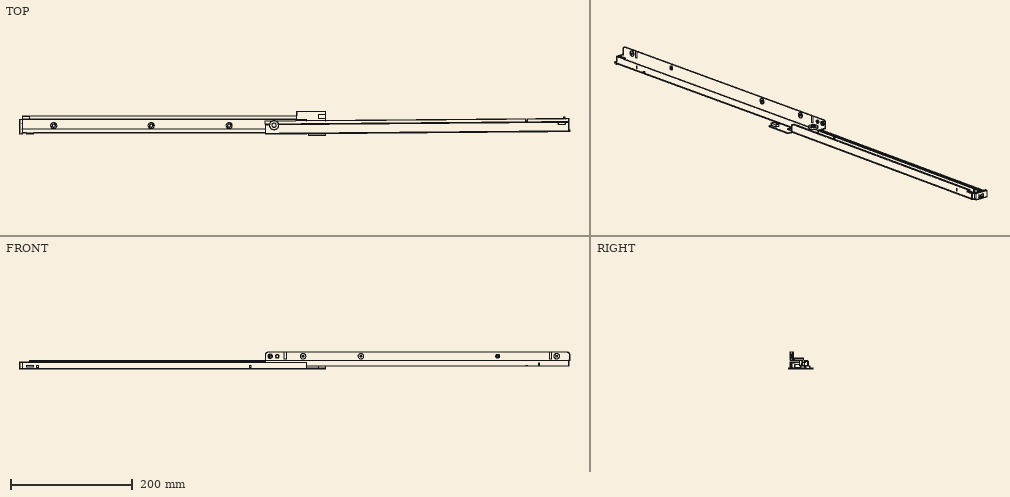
import cadquery as cq
import math

TOTAL_LENGTH = 903.36
TOTAL_WIDTH = 39.5
TOTAL_HEIGHT = 27.83
FRONT_X = -TOTAL_LENGTH / 2
REAR_X = TOTAL_LENGTH / 2
BASE_Z = -TOTAL_HEIGHT / 2
TOP_Z = TOTAL_HEIGHT / 2
SHEET = 1.2

LOWER_FRONT_X = FRONT_X + 4.5
LOWER_REAR_X = 19.5
FAR_WALL_REAR_X = 3.0
LOWER_LENGTH = LOWER_REAR_X - LOWER_FRONT_X
LOWER_NEAR_Y = -15.5
LOWER_FAR_Y = 12.4
NEAR_LIP_Y = -9.5
FAR_LIP_Y = 6.5
NEAR_WALL_TOP_Z = -3.3
FAR_WALL_TOP_Z = -0.3
FAR_LIP_DEPTH = 3.2
FLOOR_BEND_RADIUS = 3.3
NEAR_LIP_BEND_RADIUS = 2.0
FAR_LIP_BEND_RADIUS = 2.2
FAR_WALL_SETBACK = 11.5
FLOOR_HOLE_Y = -3.6
FLOOR_HOLE_OFFSETS = (55.9, 216.0, 344.0)
FLOOR_HOLE_DIA = 5.0
FLOOR_RECESS_DIA = 10.0
FLOOR_RECESS_DEPTH = 0.5
NOTCH_WIDTH = 2.5
NEAR_WALL_NOTCH_Z = (-11.5, -8.0)
GROOVE_DEPTH = 0.4
GROOVE_Z = (-8.0, -4.0)
NEAR_WALL_NOTCH_OFFSETS = (28.0, 377.5)
FAR_WALL_GROOVE_OFFSET = 42.0
GROOVE_WIDTH = 1.0

STOP_NEAR_Y = -17.5
STOP_FAR_Y = 6.5
STOP_TOP_Z = -2.8
STOP_WINDOW_Y = -4.75
STOP_WINDOW_WIDTH = 9.5
STOP_WINDOW_Z = -9.3
STOP_WINDOW_HEIGHT = 4.6
EAR_OFFSET = 11.0
EAR_LENGTH = 12.0
EAR_TOP_Z = -8.5
EAR_BOTTOM_Z = -10.5

UPPER_LENGTH = 500.0
UPPER_SKEW = 0.477
UPPER_NEAR_Y = -17.5
UPPER_FRONT_X = REAR_X - UPPER_LENGTH * math.cos(math.radians(UPPER_SKEW))
WEB_BOTTOM_Z = -0.5
WEB_WIDTH = 16.5
FOOT_REACH = 21.5
FOOT_BOTTOM_Z = -9.5
BEND_RADIUS = 2.5
FLANGE_CORNER_RADIUS = 5.0
CHANNEL_END_GAP = 1.4

FLANGE_HOLES = ((8.0, 7.0), (62.0, 9.0), (157.0, 9.0), (381.5, 6.5), (478.5, 9.0))
FLANGE_HOLE_Z = 6.9
SCREW_DIA = 2.5
RECESS_DEPTH = 0.6
FRONT_HOLE_OFFSET = 19.5
FRONT_HOLE_DIA = 5.0
FLANGE_GROOVE_OFFSETS = (31.0, 466.5)
FLANGE_GROOVE_WIDTH = 3.5

WEB_WINDOW_OFFSET = 481.5
WEB_WINDOW_LENGTH = 11.0
WEB_WINDOW_NEAR = 11.8
FOOT_NOTCH_OFFSET = 428.0
DROP_WALL_GROOVE_OFFSET = 449.0
TIP_OFFSET = 490.0
TIP_WIDTH = 2.0
TIP_REACH = 2.5

ROLLER_OFFSET = 14.5
ROLLER_ACROSS = 14.5
ROLLER_DIA = 15.0
ROLLER_TOP_Z = 3.8
ROLLER_PIN_DIA = 7.0
ROLLER_RECESS_DEPTH = 1.0

BRACKET_REAR_X = 50.8
BRACKET_EAR_X = 22.5
BRACKET_BODY_NEAR_Y = -15.5
BRACKET_BLOCK_LENGTH = 12.0
BRACKET_BLOCK_NEAR_Y = 8.0
BRACKET_BLOCK_FAR_Y = 15.0
BRACKET_BLOCK_TOP_Z = -9.0


def block(x_range, y_range, z_range):
    """Axis-aligned box between pairs of coordinates."""
    (x0, x1), (y0, y1), (z0, z1) = x_range, y_range, z_range
    return cq.Workplane("XY").box(x1 - x0, y1 - y0, z1 - z0, centered=False).translate((x0, y0, z0))


def round_long_edge(solid, y, z, radius):
    """Fillet the lengthwise edge that passes through (y, z)."""
    mid_x = solid.val().Center().x
    edge = solid.edges("|X").edges(cq.selectors.NearestToPointSelector((mid_x, y, z)))
    return edge.fillet(radius)


def lower_rail_sheet():
    """Trough section with a low near lip and a tall far lip turned down at its edge."""
    floor_z = BASE_Z + SHEET
    trough = (
        cq.Workplane("YZ", origin=(LOWER_FRONT_X, 0, 0))
        .moveTo(LOWER_NEAR_Y, BASE_Z)
        .lineTo(LOWER_FAR_Y, BASE_Z)
        .lineTo(LOWER_FAR_Y, FAR_WALL_TOP_Z)
        .lineTo(FAR_LIP_Y, FAR_WALL_TOP_Z)
        .lineTo(FAR_LIP_Y, FAR_WALL_TOP_Z - FAR_LIP_DEPTH)
        .lineTo(FAR_LIP_Y + SHEET, FAR_WALL_TOP_Z - FAR_LIP_DEPTH)
        .lineTo(FAR_LIP_Y + SHEET, FAR_WALL_TOP_Z - SHEET)
        .lineTo(LOWER_FAR_Y - SHEET, FAR_WALL_TOP_Z - SHEET)
        .lineTo(LOWER_FAR_Y - SHEET, floor_z)
        .lineTo(LOWER_NEAR_Y + SHEET, floor_z)
        .lineTo(LOWER_NEAR_Y + SHEET, NEAR_WALL_TOP_Z - SHEET)
        .lineTo(NEAR_LIP_Y, NEAR_WALL_TOP_Z - SHEET)
        .lineTo(NEAR_LIP_Y, NEAR_WALL_TOP_Z)
        .lineTo(LOWER_NEAR_Y, NEAR_WALL_TOP_Z)
        .close()
        .extrude(LOWER_LENGTH)
    )

    bends = (
        (LOWER_NEAR_Y, BASE_Z, 1, 1, FLOOR_BEND_RADIUS),
        (LOWER_FAR_Y, BASE_Z, -1, 1, FLOOR_BEND_RADIUS),
        (LOWER_NEAR_Y, NEAR_WALL_TOP_Z, 1, -1, NEAR_LIP_BEND_RADIUS),
        (LOWER_FAR_Y, FAR_WALL_TOP_Z, -1, -1, FAR_LIP_BEND_RADIUS),
    )
    for y, z, inward_y, inward_z, radius in bends:
        trough = round_long_edge(trough, y, z, radius)
        trough = round_long_edge(trough, y + inward_y * SHEET, z + inward_z * SHEET, radius - SHEET)
    return trough


def stop_plate():
    """Upright plate closing the front of the lower rail, with a window through it."""
    plate = block((FRONT_X, LOWER_FRONT_X), (STOP_NEAR_Y, STOP_FAR_Y), (BASE_Z, STOP_TOP_Z))
    window = block(
        (FRONT_X, LOWER_FRONT_X),
        (STOP_WINDOW_Y - STOP_WINDOW_WIDTH / 2, STOP_WINDOW_Y + STOP_WINDOW_WIDTH / 2),
        (STOP_WINDOW_Z - STOP_WINDOW_HEIGHT / 2, STOP_WINDOW_Z + STOP_WINDOW_HEIGHT / 2),
    )
    return plate.cut(window)


def make_lower_rail():
    rail = lower_rail_sheet()
    floor_z = BASE_Z + SHEET

    setback = block(
        (LOWER_FRONT_X, LOWER_FRONT_X + FAR_WALL_SETBACK), (FAR_LIP_Y, LOWER_FAR_Y), (STOP_TOP_Z, TOP_Z)
    )
    bracket_relief = block(
        (FAR_WALL_REAR_X, LOWER_REAR_X), (FAR_LIP_Y, LOWER_FAR_Y), (BASE_Z, FAR_WALL_TOP_Z)
    )
    rail = rail.cut(setback).cut(bracket_relief)

    for offset in FLOOR_HOLE_OFFSETS:
        floor_point = cq.Workplane("XY", origin=(FRONT_X + offset, FLOOR_HOLE_Y, floor_z))
        rail = rail.cut(floor_point.circle(FLOOR_HOLE_DIA / 2).extrude(-SHEET))
        rail = rail.cut(floor_point.circle(FLOOR_RECESS_DIA / 2).extrude(-FLOOR_RECESS_DEPTH))

    for offset in NEAR_WALL_NOTCH_OFFSETS:
        start = FRONT_X + offset
        notch = block(
            (start, start + NOTCH_WIDTH), (LOWER_NEAR_Y, LOWER_NEAR_Y + 2 * SHEET), NEAR_WALL_NOTCH_Z
        )
        rail = rail.cut(notch)

    groove_x = FRONT_X + FAR_WALL_GROOVE_OFFSET
    groove_y = LOWER_FAR_Y - SHEET
    rail = rail.cut(
        block((groove_x, groove_x + GROOVE_WIDTH), (groove_y, groove_y + GROOVE_DEPTH), GROOVE_Z)
    )

    ear_x = FRONT_X + EAR_OFFSET
    ear = block((ear_x, ear_x + EAR_LENGTH), (STOP_NEAR_Y, LOWER_NEAR_Y + SHEET), (EAR_BOTTOM_Z, EAR_TOP_Z))
    return rail.union(stop_plate()).union(ear)


def upper_rail_sheet():
    """Bent sheet along local X, with local Y measured from the flange's outer face."""
    web_top_z = WEB_BOTTOM_Z + SHEET
    wall_y = WEB_WIDTH - SHEET
    foot_top_z = FOOT_BOTTOM_Z + SHEET
    bent = (
        cq.Workplane("YZ")
        .moveTo(0, TOP_Z)
        .lineTo(0, WEB_BOTTOM_Z)
        .lineTo(wall_y, WEB_BOTTOM_Z)
        .lineTo(wall_y, FOOT_BOTTOM_Z)
        .lineTo(FOOT_REACH, FOOT_BOTTOM_Z)
        .lineTo(FOOT_REACH, foot_top_z)
        .lineTo(WEB_WIDTH, foot_top_z)
        .lineTo(WEB_WIDTH, web_top_z)
        .lineTo(SHEET, web_top_z)
        .lineTo(SHEET, TOP_Z)
        .close()
        .extrude(UPPER_LENGTH)
    )
    bent = round_long_edge(bent, 0, WEB_BOTTOM_Z, BEND_RADIUS)
    bent = round_long_edge(bent, SHEET, web_top_z, BEND_RADIUS - SHEET)
    bent = round_long_edge(bent, wall_y, FOOT_BOTTOM_Z, BEND_RADIUS)
    bent = round_long_edge(bent, WEB_WIDTH, foot_top_z, BEND_RADIUS - SHEET)
    flange_corners = bent.edges("|Y").edges(">Z")
    return flange_corners.fillet(FLANGE_CORNER_RADIUS)


def flange_disc(offset, diameter, depth):
    """Disc cutter sunk into the flange from its outer face."""
    return cq.Workplane("XZ", origin=(offset, 0, FLANGE_HOLE_Z)).circle(diameter / 2).extrude(-depth)


def roller():
    """Round head standing on the web, with a shallow round recess for its pin."""
    base_z = WEB_BOTTOM_Z + SHEET
    head = (
        cq.Workplane("XY", origin=(ROLLER_OFFSET, ROLLER_ACROSS, base_z))
        .circle(ROLLER_DIA / 2)
        .extrude(ROLLER_TOP_Z - base_z)
    )
    return head.faces(">Z").workplane().hole(ROLLER_PIN_DIA, ROLLER_RECESS_DEPTH)


def make_upper_rail():
    rail = upper_rail_sheet()
    web_top_z = WEB_BOTTOM_Z + SHEET

    rail = rail.cut(
        block((UPPER_LENGTH - CHANNEL_END_GAP, UPPER_LENGTH), (SHEET, FOOT_REACH), (FOOT_BOTTOM_Z, web_top_z))
    )

    for offset, recess_dia in FLANGE_HOLES:
        rail = rail.cut(flange_disc(offset, recess_dia, RECESS_DEPTH))
        rail = rail.cut(flange_disc(offset, SCREW_DIA, SHEET))
    rail = rail.cut(flange_disc(FRONT_HOLE_OFFSET, FRONT_HOLE_DIA, SHEET))

    for offset in FLANGE_GROOVE_OFFSETS:
        groove = block(
            (offset, offset + FLANGE_GROOVE_WIDTH),
            (0, GROOVE_DEPTH),
            (WEB_BOTTOM_Z + BEND_RADIUS, TOP_Z),
        )
        rail = rail.cut(groove)

    window = block(
        (WEB_WINDOW_OFFSET, WEB_WINDOW_OFFSET + WEB_WINDOW_LENGTH),
        (WEB_WINDOW_NEAR, WEB_WIDTH - SHEET),
        (WEB_BOTTOM_Z, web_top_z),
    )
    foot_notch = block(
        (FOOT_NOTCH_OFFSET, FOOT_NOTCH_OFFSET + NOTCH_WIDTH),
        (WEB_WIDTH, FOOT_REACH),
        (FOOT_BOTTOM_Z, FOOT_BOTTOM_Z + SHEET),
    )
    wall_groove = block(
        (DROP_WALL_GROOVE_OFFSET, DROP_WALL_GROOVE_OFFSET + GROOVE_WIDTH),
        (WEB_WIDTH - SHEET, WEB_WIDTH - SHEET + GROOVE_DEPTH),
        GROOVE_Z,
    )
    tip = block(
        (TIP_OFFSET, TIP_OFFSET + TIP_WIDTH),
        (FOOT_REACH, FOOT_REACH + TIP_REACH),
        (FOOT_BOTTOM_Z, FOOT_BOTTOM_Z + SHEET),
    )
    rail = rail.cut(window).cut(foot_notch).cut(wall_groove).union(tip).union(roller())
    return rail.rotate((0, 0, 0), (0, 0, 1), UPPER_SKEW).translate((UPPER_FRONT_X, UPPER_NEAR_Y, 0))


def make_rear_bracket():
    """Base plate behind the lower rail, with a far wing beside it, a near ear and a corner block."""
    plate_z = (BASE_Z, BASE_Z + SHEET)
    plate = block((LOWER_REAR_X, BRACKET_REAR_X), (BRACKET_BODY_NEAR_Y, TOTAL_WIDTH / 2), plate_z)
    wing = block((FAR_WALL_REAR_X, LOWER_REAR_X), (FAR_LIP_Y, TOTAL_WIDTH / 2), plate_z)
    ear = block((BRACKET_EAR_X, BRACKET_REAR_X), (-TOTAL_WIDTH / 2, BRACKET_BODY_NEAR_Y), plate_z)
    corner = block(
        (BRACKET_REAR_X - BRACKET_BLOCK_LENGTH, BRACKET_REAR_X),
        (BRACKET_BLOCK_NEAR_Y, BRACKET_BLOCK_FAR_Y),
        (BASE_Z, BRACKET_BLOCK_TOP_Z),
    )
    return plate.union(wing).union(ear).union(corner)


lower_rail = make_lower_rail()
upper_rail = make_upper_rail()
rear_bracket = make_rear_bracket()

result = cq.Compound.makeCompound([lower_rail.val(), upper_rail.val(), rear_bracket.val()])